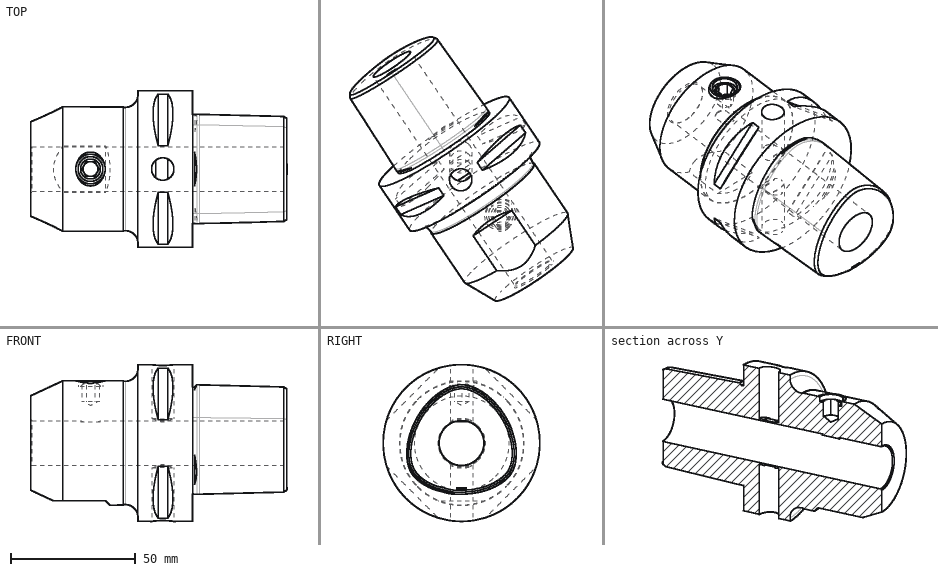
import cadquery as cq
import math

NOSE_CONE_LENGTH = 12.9
BODY_END = 37.1
NECK_START = 38.0
FLANGE_START = 43.0
FLANGE_END = 65.0
SHANK_TAPER_START = 67.7
SHANK_CHAMFER_START = 101.5
SHANK_END = 102.8
TOTAL_LENGTH = 103.0

NOSE_DIA = 38.0
BODY_DIA = 50.0
NECK_DIA = 49.6
FLANGE_DIA = 63.0
NECK_FILLET = FLANGE_START - NECK_START

BORE_DIA = 18.0
BORE_MOUTH_DIA = 19.0
BORE_MOUTH_DEPTH = (BORE_MOUTH_DIA - BORE_DIA) / 2

FLAT_HEIGHT = 23.2
FLAT_END = 30.0
FLAT_RUNOUT = BODY_DIA / 2 - FLAT_HEIGHT

SCREW_X = 24.0
SCREW_TOP = 24.95
SCREW_TIP_HEIGHT = 8.5
SCREW_TIP_DIA = 8.0
SCREW_RIM_DIA = 11.84
SCREW_COLLAR_HEIGHT = 2.0
SCREW_RECESS_DIA = 10.0
SCREW_RECESS_DEPTH = 2.1
SCREW_HEAD_DIA = 8.0
SOCKET_SIDES = 6
SOCKET_WIDTH = 6.0
SOCKET_DEPTH = 6.0
DRILL_POINT_ANGLE = 120.0

GROOVE_X = 53.1
GROOVE_COUNT = 4
GROOVE_FLOOR_RADIUS = 27.86
GROOVE_FLOOR_WIDTH = 3.8
GROOVE_FLANK_ANGLE = 30.0
FLANGE_HOLE_X = 53.0
FLANGE_HOLE_DIA = 9.0
FLANGE_HOLE_FLOOR_DIA = 20.0
FLOOR_BAND_X = 52.6
FLOOR_BAND_WIDTH = 5.0
FLOOR_BAND_DEPTH = 0.3

SHANK_NECK_DIA = 43.9
SHANK_NECK_END = 66.6
SHANK_MEAN_DIA = 44.0
SHANK_LOBE_HEIGHT = 1.4
SHANK_TAPER = 1 / 20
SHANK_END_INSET = 0.8
LOBE_COUNT = 3
POINTS_PER_LOBE = 12

RELIEF_DIA = 45.0
RELIEF_LENGTH = 0.8

MARK_WIDTH = 4.0
MARK_HEIGHT = 0.6
MARK_Z = -18.3


def cylinder_x(start, end, diameter):
    """Solid cylinder on the tool axis."""
    return cq.Workplane("YZ", origin=(start, 0, 0)).circle(diameter / 2).extrude(end - start)


def make_turned_body():
    profile = (
        cq.Workplane("XZ")
        .moveTo(0, 0)
        .lineTo(0, NOSE_DIA / 2)
        .lineTo(NOSE_CONE_LENGTH, BODY_DIA / 2)
        .lineTo(BODY_END, BODY_DIA / 2)
        .lineTo(BODY_END, NECK_DIA / 2)
        .lineTo(NECK_START, NECK_DIA / 2)
        .radiusArc((FLANGE_START, NECK_DIA / 2 + NECK_FILLET), -NECK_FILLET)
        .lineTo(FLANGE_START, FLANGE_DIA / 2)
        .lineTo(FLANGE_END, FLANGE_DIA / 2)
        .lineTo(FLANGE_END, 0)
        .close()
    )
    return profile.revolve(360, (0, 0, 0), (1, 0, 0))


def cut_nose_flat(body):
    flat = (
        cq.Workplane("XZ", origin=(0, BODY_DIA / 2, 0))
        .moveTo(0, -FLAT_HEIGHT)
        .lineTo(FLAT_END, -FLAT_HEIGHT)
        .lineTo(FLAT_END + FLAT_RUNOUT, -BODY_DIA / 2)
        .lineTo(FLAT_END + FLAT_RUNOUT, -BODY_DIA)
        .lineTo(0, -BODY_DIA)
        .close()
        .extrude(BODY_DIA)
    )
    return body.cut(flat)


def cut_gripper_grooves(body):
    """V-flanked grooves cut square across the flange rim."""
    depth = FLANGE_DIA / 2 - GROOVE_FLOOR_RADIUS
    half_floor = GROOVE_FLOOR_WIDTH / 2
    half_top = half_floor + depth * math.tan(math.radians(GROOVE_FLANK_ANGLE))
    groove = (
        cq.Workplane("XZ", origin=(GROOVE_X, FLANGE_DIA / 2, 0))
        .moveTo(-half_floor, GROOVE_FLOOR_RADIUS)
        .lineTo(half_floor, GROOVE_FLOOR_RADIUS)
        .lineTo(half_top, FLANGE_DIA / 2)
        .lineTo(-half_top, FLANGE_DIA / 2)
        .close()
        .extrude(FLANGE_DIA)
    )
    step = 360 / GROOVE_COUNT
    for index in range(GROOVE_COUNT):
        angle = step * (index + 0.5)
        body = body.cut(groove.rotate((0, 0, 0), (1, 0, 0), angle))
    return body


def cut_flange_holes(body):
    """Opposite radial holes that stop on a round floor with a shallow band across it."""
    band_start = FLOOR_BAND_X - FLOOR_BAND_WIDTH / 2
    band_end = FLOOR_BAND_X + FLOOR_BAND_WIDTH / 2
    floor = cylinder_x(FLANGE_START, FLANGE_END, FLANGE_HOLE_FLOOR_DIA)
    band_dia = FLANGE_HOLE_FLOOR_DIA - 2 * FLOOR_BAND_DEPTH
    band = cylinder_x(band_start, band_end, FLANGE_HOLE_FLOOR_DIA).cut(
        cylinder_x(band_start, band_end, band_dia)
    )
    holes = (
        cq.Workplane("XY", origin=(FLANGE_HOLE_X, 0, 0))
        .circle(FLANGE_HOLE_DIA / 2)
        .extrude(FLANGE_DIA / 2, both=True)
    )
    return body.cut(holes.cut(floor.cut(band)))


def shank_edge(x, mean_dia, lobe):
    """One lobe of the shank outline, from flat middle to flat middle."""
    span = 2 * math.pi / LOBE_COUNT
    start = math.pi / 2 + (lobe - 0.5) * span
    points = []
    for index in range(POINTS_PER_LOBE + 1):
        angle = start + span * index / POINTS_PER_LOBE
        lobe_angle = LOBE_COUNT * (angle - math.pi / 2)
        reach = mean_dia / 2 + SHANK_LOBE_HEIGHT * math.cos(lobe_angle)
        slope = -LOBE_COUNT * SHANK_LOBE_HEIGHT * math.sin(lobe_angle)
        y = reach * math.cos(angle) - slope * math.sin(angle)
        z = reach * math.sin(angle) + slope * math.cos(angle)
        points.append(cq.Vector(x, y, z))
    tangents = [cq.Vector(0, -math.sin(a), math.cos(a)) for a in (start, start + span)]
    return cq.Edge.makeSpline(points, tangents=tangents)


def shank_outline(x, mean_dia):
    return cq.Wire.assembleEdges([shank_edge(x, mean_dia, lobe) for lobe in range(LOBE_COUNT)])


def make_shank():
    tapered_dia = SHANK_MEAN_DIA - SHANK_TAPER * (SHANK_CHAMFER_START - SHANK_TAPER_START)
    outlines = [
        shank_outline(FLANGE_END, SHANK_NECK_DIA),
        shank_outline(SHANK_NECK_END, SHANK_MEAN_DIA),
        shank_outline(SHANK_TAPER_START, SHANK_MEAN_DIA),
        shank_outline(SHANK_CHAMFER_START, tapered_dia),
        shank_outline(SHANK_END, tapered_dia - 2 * SHANK_END_INSET),
    ]
    return cq.Workplane(cq.Solid.makeLoft(outlines, True))


def cut_lobe_relief(shank):
    outer = FLANGE_DIA / 2
    relief = (
        cq.Workplane("XZ")
        .moveTo(FLANGE_END, RELIEF_DIA / 2)
        .lineTo(FLANGE_END + RELIEF_LENGTH, RELIEF_DIA / 2)
        .lineTo(SHANK_NECK_END, SHANK_MEAN_DIA / 2 + SHANK_LOBE_HEIGHT)
        .lineTo(SHANK_NECK_END, outer)
        .lineTo(FLANGE_END, outer)
        .close()
        .revolve(360, (0, 0, 0), (1, 0, 0))
    )
    return shank.cut(relief)


def add_end_mark(body):
    mark = (
        cq.Workplane("YZ", origin=(SHANK_CHAMFER_START, 0, MARK_Z))
        .rect(MARK_WIDTH, MARK_HEIGHT)
        .extrude(TOTAL_LENGTH - SHANK_CHAMFER_START)
    )
    return body.union(mark)


def cut_bore(body):
    bore = cylinder_x(0, TOTAL_LENGTH, BORE_DIA)
    mouth = cq.Workplane(
        cq.Solid.makeCone(
            BORE_MOUTH_DIA / 2, BORE_DIA / 2, BORE_MOUTH_DEPTH, cq.Vector(0, 0, 0), cq.Vector(1, 0, 0)
        )
    )
    return body.cut(bore).cut(mouth)


def screw_cone(top_dia, bottom_dia, top):
    """Frustum on the screw axis with 45 degree flanks, widening downward."""
    height = (bottom_dia - top_dia) / 2
    return cq.Workplane(
        cq.Solid.makeCone(
            bottom_dia / 2, top_dia / 2, height, cq.Vector(SCREW_X, 0, top - height), cq.Vector(0, 0, 1)
        )
    )


def add_screw_body(body):
    """Screw tip reaching into the bore, and the flat-topped collar round the screw mouth."""
    tip = (
        cq.Workplane("XY", origin=(SCREW_X, 0, SCREW_TIP_HEIGHT))
        .circle(SCREW_TIP_DIA / 2)
        .extrude(BORE_DIA / 2)
    )
    collar_base_dia = SCREW_RIM_DIA + 2 * SCREW_COLLAR_HEIGHT
    body = body.union(tip).union(screw_cone(SCREW_RIM_DIA, collar_base_dia, SCREW_TOP))

    crest = (
        cq.Workplane("XY", origin=(SCREW_X, 0, SCREW_TOP))
        .circle(SCREW_RIM_DIA / 2)
        .extrude(BODY_DIA / 2 - SCREW_TOP)
    )
    return body.cut(crest)


def shape_screw_head(body):
    """Round recess with a cone-edged hexagon socket standing on its floor."""
    floor = SCREW_TOP - SCREW_RECESS_DEPTH
    corner_dia = SOCKET_WIDTH / math.cos(math.pi / SOCKET_SIDES)
    head_height = (SCREW_HEAD_DIA - SOCKET_WIDTH) / 2
    point_height = SOCKET_WIDTH / 2 / math.tan(math.radians(DRILL_POINT_ANGLE / 2))
    recess = (
        cq.Workplane("XY", origin=(SCREW_X, 0, floor))
        .circle(SCREW_RECESS_DIA / 2)
        .extrude(SCREW_RECESS_DEPTH)
    )
    socket = (
        cq.Workplane("XY", origin=(SCREW_X, 0, floor - SOCKET_DEPTH))
        .polygon(SOCKET_SIDES, corner_dia)
        .extrude(SOCKET_DEPTH + head_height)
    )
    point = cq.Workplane(
        cq.Solid.makeCone(
            0,
            SOCKET_WIDTH / 2,
            point_height,
            cq.Vector(SCREW_X, 0, floor - SOCKET_DEPTH - point_height),
            cq.Vector(0, 0, 1),
        )
    )
    head = screw_cone(SOCKET_WIDTH, SCREW_HEAD_DIA, floor + head_height)
    return body.cut(recess).union(head).cut(socket).cut(point)


body = make_turned_body()
body = cut_nose_flat(body)
body = cut_gripper_grooves(body)
body = cut_flange_holes(body)
body = body.union(cut_lobe_relief(make_shank()))
body = add_end_mark(body)
body = cut_bore(body)
body = add_screw_body(body)
result = shape_screw_head(body)